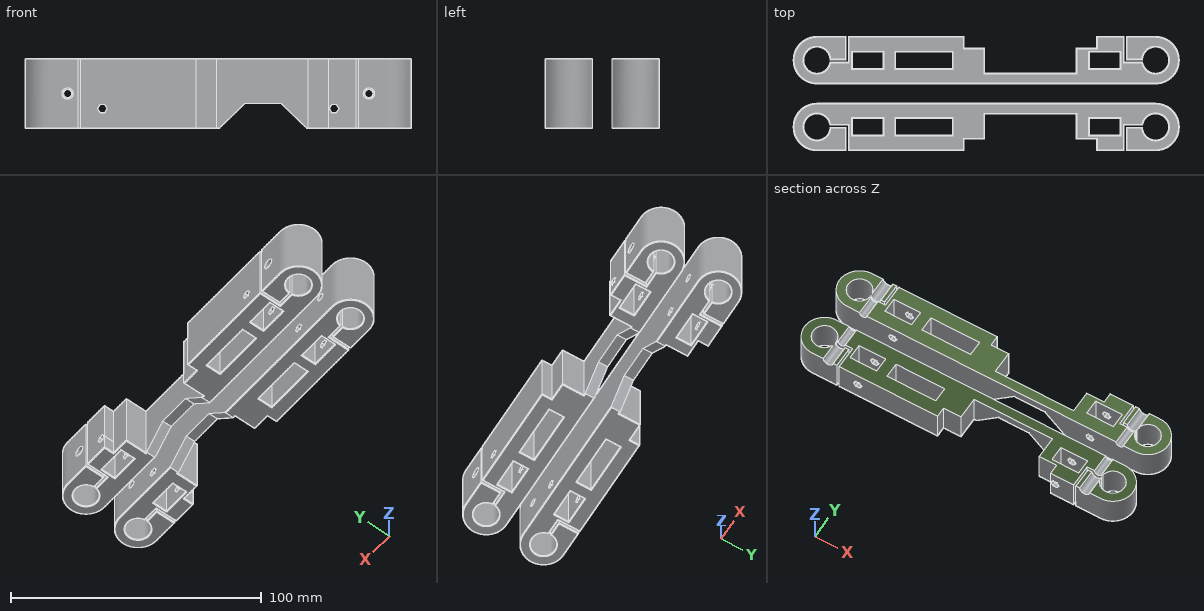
import cadquery as cq

LENGTH = 154.0
TOTAL_DEPTH = 45.6
HEIGHT = 28.0

ARM_WIDTH = 19.0
END_RADIUS = ARM_WIDTH / 2
ROD_X = LENGTH / 2 - END_RADIUS
RECESS_START = -0.6
RECESS_END = 35.9
WEB_THICKNESS = 4.3
STEP_LENGTH = 8.2
STEP_DEPTH = 4.6
EDGE_CHAMFER = 0.3

ROD_DIAMETER = 10.5
SLOT_WIDTH = 1.0
SLOT_X = 55.5
SLOT_OFFSET = 0.3
CLAMP_SCREW_X = 60.0
CLEARANCE_DIAMETER = 4.5
THREAD_DIAMETER = 3.2

POCKET_WIDTH = 6.6
POCKET_Y = 9.4
END_POCKET_LENGTH = 12.3
END_POCKET_X = 47.3
LONG_POCKET_LENGTH = 22.6
LONG_POCKET_X = -24.8

HEX_SIDES = 6
HEX_ACROSS_CORNERS = 3.7
HEX_X = 46.2
HEX_Z = 8.0

NOTCH_HEIGHT = 10.0
NOTCH_TOP_LENGTH = 14.5
NOTCH_BASE_LENGTH = 35.1
NOTCH_X = 17.9

ENDS = (-1, 1)
SLOT_Y = END_RADIUS - SLOT_OFFSET


def block(x_min, x_max, y_min, y_max):
    """Full-height rectangular block between the given limits."""
    return (
        cq.Workplane("XY")
        .center((x_min + x_max) / 2, (y_min + y_max) / 2)
        .rect(x_max - x_min, y_max - y_min)
        .extrude(HEIGHT)
    )


def cross_cylinder(x, z, diameter, y_min, y_max):
    """Cylinder along +Y between the given limits."""
    start = cq.Vector(x, y_min, z)
    return cq.Solid.makeCylinder(diameter / 2, y_max - y_min, start, cq.Vector(0, 1, 0))


def hex_cross_hole(x):
    """Hexagonal prism across the full width of the arm, with corners pointing along X."""
    return (
        cq.Workplane("XZ")
        .center(x, HEX_Z)
        .polygon(HEX_SIDES, HEX_ACROSS_CORNERS)
        .extrude(-ARM_WIDTH)
    )


def stepped_bar():
    """Round-ended bar with the stepped recess that leaves a thin web."""
    bar = (
        cq.Workplane("XY")
        .center(0, END_RADIUS)
        .slot2D(LENGTH, ARM_WIDTH)
        .extrude(HEIGHT)
    )
    recess = block(RECESS_START, RECESS_END, WEB_THICKNESS, ARM_WIDTH)
    step = block(
        RECESS_START - STEP_LENGTH, RECESS_END + STEP_LENGTH, ARM_WIDTH - STEP_DEPTH, ARM_WIDTH
    )
    return bar.cut(recess).cut(step)


def pocket(x, length):
    """Rectangular pocket through the full height."""
    return block(
        x - length / 2, x + length / 2, POCKET_Y - POCKET_WIDTH / 2, POCKET_Y + POCKET_WIDTH / 2
    )


def clamp_opening(end):
    """Rod hole with the L-shaped slot that frees the clamp jaw."""
    rod_x = end * ROD_X
    slot_x = end * SLOT_X
    half_slot = SLOT_WIDTH / 2
    rod = cq.Workplane("XY").center(rod_x, END_RADIUS).circle(ROD_DIAMETER / 2).extrude(HEIGHT)
    inner_leg = block(
        min(rod_x, slot_x), max(rod_x, slot_x), SLOT_Y - half_slot, SLOT_Y + half_slot
    )
    outer_leg = block(slot_x - half_slot, slot_x + half_slot, SLOT_Y - half_slot, ARM_WIDTH)
    return rod.union(inner_leg).union(outer_leg)


def notch():
    """Trapezoid cut into the underside of the web."""
    half_base = NOTCH_BASE_LENGTH / 2
    half_top = NOTCH_TOP_LENGTH / 2
    return (
        cq.Workplane("XZ")
        .moveTo(NOTCH_X - half_base, 0)
        .lineTo(NOTCH_X - half_top, NOTCH_HEIGHT)
        .lineTo(NOTCH_X + half_top, NOTCH_HEIGHT)
        .lineTo(NOTCH_X + half_base, 0)
        .close()
        .extrude(-WEB_THICKNESS)
    )


def clamp_arm():
    """Arm with its inner face on Y = 0 and its clamp jaws toward +Y."""
    arm = stepped_bar()
    arm = arm.cut(pocket(LONG_POCKET_X, LONG_POCKET_LENGTH))
    for end in ENDS:
        arm = arm.cut(pocket(end * END_POCKET_X, END_POCKET_LENGTH))
        arm = arm.cut(clamp_opening(end))
    arm = arm.faces("<Z or >Z").edges().chamfer(EDGE_CHAMFER)
    arm = arm.cut(notch())
    for end in ENDS:
        screw_x = end * CLAMP_SCREW_X
        arm = arm.cut(cross_cylinder(screw_x, HEIGHT / 2, CLEARANCE_DIAMETER, SLOT_Y, ARM_WIDTH))
        arm = arm.cut(cross_cylinder(screw_x, HEIGHT / 2, THREAD_DIAMETER, 0, SLOT_Y))
        arm = arm.cut(hex_cross_hole(end * HEX_X))
    return arm


rear_arm = clamp_arm().translate((0, TOTAL_DEPTH / 2 - ARM_WIDTH, 0))
front_arm = rear_arm.mirror("XZ")

result = cq.Compound.makeCompound([rear_arm.val(), front_arm.val()])